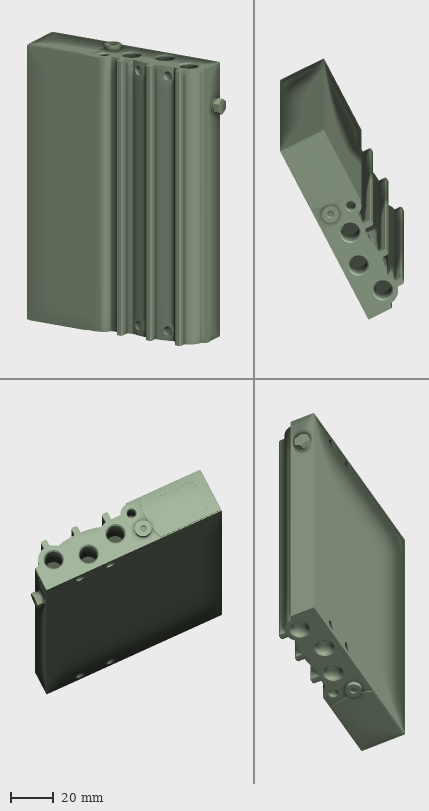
import cadquery as cq
import math

body_width = 91.5
body_depth = 23.0
overall_height = 139.5
body_height = 135.0
end_face = body_height / 2

port_pitch = 15.9
middle_port_x = 66.0
port_centres = [
    (middle_port_x - port_pitch, 11.6),
    (middle_port_x, 15.3),
    (middle_port_x + port_pitch, 10.6),
]
port_diameter = 8.5
port_mouth_diameter = 9.8
port_depth = 14.0
port_wall_radius = 7.3
shelf_y = 4.2
belly_radius = 37.7
belly_low_y = 3.8
side_step_radius = 3.0
side_step_y = 10.7

foot_width = 3.0
foot_top_y = 5.6
foot_chamfer = 0.5

pilot_x = 38.8
pilot_y = 5.6
pilot_diameter = 4.2
pilot_mouth_diameter = 5.0
pilot_depth = 8.4
corner_radius = 5.0
mount_hole_diameter = 4.5
mount_hole_z = 62.8

pad_thickness = 0.4
pad_margin = 0.4
pad_corner_radius = 0.7
pad_right_x = 31.7
pad_bulge = 2.1

panel_depth = 0.07
panel_left = 5.6
panel_right = 31.0
panel_crown = 31.7
panel_bottom = 3.8
panel_top = 20.8
panel_corner_radius = 2.0
tab_left = 4.2
tab_right = 32.1
tab_width = 2.4
tab_y = 13.5
notch_floor = 30.7
notch_span = 5.9

plug_x = 37.5
plug_y = 15.6
plug_diameter = 8.0
plug_neck_diameter = 7.7
plug_head_height = 1.4
plug_height = overall_height / 2 - end_face
socket_diameter = 2.5
socket_mouth_diameter = 3.3
socket_depth = 0.7

hex_tip_x = 95.5
hex_y = 18.3
hex_z = 47.4
hex_across_flats = 6.8
hex_height = 2.5
hex_tip_chamfer = 0.21
washer_diameter = 8.0
washer_thickness = 0.4
hex_neck_diameter = 6.7




def point_on_circle(centre, radius, degrees):
    angle = math.radians(degrees)
    return (centre[0] + radius * math.cos(angle), centre[1] + radius * math.sin(angle))


def crossings(centre_a, radius_a, centre_b, radius_b):
    """The two points where two circles cross, the lower one first."""
    dx = centre_b[0] - centre_a[0]
    dy = centre_b[1] - centre_a[1]
    distance = math.hypot(dx, dy)
    along = (distance**2 + radius_a**2 - radius_b**2) / (2 * distance)
    across = math.sqrt(radius_a**2 - along**2)
    base_x = centre_a[0] + along * dx / distance
    base_y = centre_a[1] + along * dy / distance
    side_x = across * dy / distance
    side_y = across * dx / distance
    points = [(base_x + side_x, base_y - side_y), (base_x - side_x, base_y + side_y)]
    return sorted(points, key=lambda point: point[1])


def arc_between(sketch, centre, radius, end, start):
    """Add the short arc from start to end about a known centre."""
    mid_x = (start[0] + end[0]) / 2 - centre[0]
    mid_y = (start[1] + end[1]) / 2 - centre[1]
    degrees = math.degrees(math.atan2(mid_y, mid_x))
    return sketch.threePointArc(point_on_circle(centre, radius, degrees), end)


def make_extrusion():
    """Constant cross-section of the housing, without its feet."""
    first_port, middle_port, last_port = port_centres

    corner_centre = (pilot_x, pilot_y)
    corner_start = (pilot_x, pilot_y - corner_radius)
    corner_end = (pilot_x + math.sqrt(corner_radius**2 - (pilot_y - shelf_y)**2), shelf_y)

    belly_centre = (middle_port[0], belly_low_y + belly_radius)
    first_wall_start = (first_port[0], first_port[1] - port_wall_radius)
    belly_start, _ = crossings(first_port, port_wall_radius, belly_centre, belly_radius)
    belly_end, _ = crossings(last_port, port_wall_radius, belly_centre, belly_radius)

    step_centre = (body_width, side_step_y - side_step_radius)
    _, step_start = crossings(last_port, port_wall_radius, step_centre, side_step_radius)
    step_end = (body_width, side_step_y)

    outline = cq.Workplane("XY").workplane(offset=-end_face).moveTo(0, 0)
    outline = outline.lineTo(pilot_x, 0).lineTo(*corner_start)
    outline = arc_between(outline, corner_centre, corner_radius, corner_end, corner_start)
    outline = outline.lineTo(first_port[0], shelf_y).lineTo(*first_wall_start)
    outline = arc_between(outline, first_port, port_wall_radius, belly_start, first_wall_start)
    outline = arc_between(outline, belly_centre, belly_radius, belly_end, belly_start)
    outline = arc_between(outline, last_port, port_wall_radius, step_start, belly_end)
    outline = arc_between(outline, step_centre, side_step_radius, step_end, step_start)
    outline = outline.lineTo(body_width, body_depth).lineTo(0, body_depth)
    return outline.close().extrude(body_height)


def make_foot(centre_x):
    foot = cq.Workplane("XY").box(foot_width, foot_top_y, body_height, centered=(True, False, True))
    foot = foot.faces("<Y").edges("|Z").chamfer(foot_chamfer)
    return foot.translate((centre_x, 0, 0))


def make_pad():
    """Raised pad with a bowed right edge, standing on the upper end face."""
    bottom = pad_margin
    top = body_depth - pad_margin
    pad = (
        cq.Workplane("XY").workplane(offset=end_face)
        .moveTo(pad_margin, bottom)
        .lineTo(pad_right_x, bottom)
        .threePointArc((pad_right_x + pad_bulge, body_depth / 2), (pad_right_x, top))
        .lineTo(pad_margin, top)
        .close()
        .extrude(pad_thickness)
    )
    return pad.edges("|Z and <X").fillet(pad_corner_radius)


def tab_block(left, right, width):
    """Block through the panel's depth, centred on the tabs."""
    block = cq.Workplane("XY").box(right - left, width, panel_depth, centered=(False, True, False))
    return block.translate((left, tab_y, end_face + pad_thickness - panel_depth))


def make_panel():
    """Shallow recess volume in the upper pad: bowed rectangle, notch and two tabs."""
    panel = (
        cq.Workplane("XY").workplane(offset=end_face + pad_thickness - panel_depth)
        .moveTo(panel_left, panel_bottom)
        .lineTo(panel_right, panel_bottom)
        .threePointArc((panel_crown, body_depth / 2), (panel_right, panel_top))
        .lineTo(panel_left, panel_top)
        .close()
        .extrude(panel_depth)
        .edges("|Z").fillet(panel_corner_radius)
    )
    panel = panel.cut(tab_block(notch_floor, tab_right, notch_span))
    return panel.union(tab_block(tab_left, tab_right, tab_width))


def mouthed_hole(x, y, top_z, diameter, mouth_diameter, depth):
    """Blind hole volume down from top_z with a 45 degree countersunk mouth."""
    mouth_depth = (mouth_diameter - diameter) / 2
    profile = (
        cq.Workplane("XZ")
        .moveTo(0, 0)
        .lineTo(mouth_diameter / 2, 0)
        .lineTo(diameter / 2, -mouth_depth)
        .lineTo(diameter / 2, -depth)
        .lineTo(0, -depth)
        .close()
    )
    return profile.revolve(360, (0, 0, 0), (0, 1, 0)).translate((x, y, top_z))


def both_ends(upper):
    return [upper, upper.mirror("XY")]


def make_housing():
    housing = make_extrusion()
    for centre_x, _ in port_centres:
        housing = housing.union(make_foot(centre_x))

    for pad in both_ends(make_pad()):
        housing = housing.union(pad)
    for panel in both_ends(make_panel()):
        housing = housing.cut(panel)

    end_holes = [
        mouthed_hole(x, y, end_face, port_diameter, port_mouth_diameter, port_depth)
        for x, y in port_centres
    ]
    end_holes.append(
        mouthed_hole(pilot_x, pilot_y, end_face, pilot_diameter, pilot_mouth_diameter, pilot_depth)
    )
    for upper_hole in end_holes:
        for hole in both_ends(upper_hole):
            housing = housing.cut(hole)

    for side in (-1, 1):
        for end in (-1, 1):
            hole = (
                cq.Workplane("XZ")
                .center(middle_port_x + side * port_pitch / 2, end * mount_hole_z)
                .circle(mount_hole_diameter / 2)
                .extrude(-body_depth)
            )
            housing = housing.cut(hole)
    return housing


def make_end_plug():
    """Necked round plug standing on the upper end face, with a round socket."""
    plug = (
        cq.Workplane("XY").workplane(offset=end_face)
        .center(plug_x, plug_y)
        .circle(plug_neck_diameter / 2)
        .extrude(plug_height)
        .faces(">Z").workplane()
        .circle(plug_diameter / 2)
        .extrude(-plug_head_height)
    )
    socket = mouthed_hole(
        plug_x, plug_y, end_face + plug_height, socket_diameter, socket_mouth_diameter, socket_depth
    )
    return plug.cut(socket)


def make_hex_plug():
    """Washer face, round neck and hex head, built along +X from the side face."""
    plug_length = hex_tip_x - body_width
    across_corners = hex_across_flats / math.cos(math.radians(30))
    tip_radius = across_corners / 2

    washer = cq.Workplane("YZ").circle(washer_diameter / 2).extrude(washer_thickness)
    neck = cq.Workplane("YZ").circle(hex_neck_diameter / 2).extrude(plug_length)
    head = (
        cq.Workplane("YZ").workplane(offset=plug_length - hex_height)
        .transformed(rotate=(0, 0, 90))
        .polygon(6, across_corners)
        .extrude(hex_height)
    )
    chamfer_envelope = (
        cq.Workplane("YZ").circle(tip_radius).extrude(plug_length)
        .faces(">X").chamfer(hex_tip_chamfer)
    )
    head = head.intersect(chamfer_envelope)
    return washer.union(neck).union(head).translate((body_width, hex_y, hex_z))


housing = make_housing()
end_plugs = [plug.val() for plug in both_ends(make_end_plug())]
hex_plug = make_hex_plug()

result = cq.Compound.makeCompound([housing.val(), *end_plugs, hex_plug.val()])